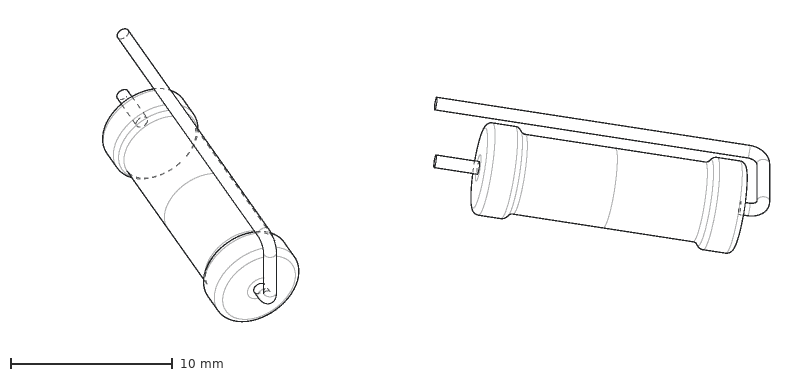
import cadquery as cq
import math

wire_diameter = 0.8
barrel_radius = 5.0 / 2
cap_radius = 5.8 / 2
body_half_length = 8.26
cone_height = 0.06
end_flat_radius = 0.82
cap_inner_x = 6.38
barrel_half_length = 5.68
short_lead_tip_x = -10.99
long_lead_tip_x = -10.95
riser_x = 9.75
lead_spacing = 5.25
bend_radius = 0.93

wire_radius = wire_diameter / 2
cap_step = cap_radius - barrel_radius
rim_radius = cap_step
rim_x = body_half_length - cone_height
cap_outer_x = rim_x - rim_radius
taper_mid_x = (cap_inner_x + barrel_half_length) / 2
taper_mid_radius = (cap_radius + barrel_radius) / 2
half_taper_length = (cap_inner_x - barrel_half_length) / 2
half_step = cap_step / 2
taper_arc_radius = (half_taper_length**2 + half_step**2) / (2 * half_step)


def make_body():
    """Turned body: a barrel with a rounded, slightly conical cap at each end."""
    half_profile = (
        cq.Workplane("XY")
        .moveTo(0, 0)
        .lineTo(0, barrel_radius)
        .lineTo(barrel_half_length, barrel_radius)
        .radiusArc((taper_mid_x, taper_mid_radius), -taper_arc_radius)
        .radiusArc((cap_inner_x, cap_radius), taper_arc_radius)
        .lineTo(cap_outer_x, cap_radius)
        .radiusArc((rim_x, cap_radius - rim_radius), rim_radius)
        .lineTo(body_half_length, end_flat_radius)
        .lineTo(body_half_length, 0)
        .close()
    )
    half_body = half_profile.revolve(360, (0, 0, 0), (1, 0, 0))
    return half_body.union(half_body.mirror("YZ")).clean().solids()


def make_short_lead():
    """Straight wire from its free tip to the left end face."""
    lead_length = -body_half_length - short_lead_tip_x
    return (
        cq.Workplane("YZ", origin=(short_lead_tip_x, 0, 0))
        .circle(wire_radius)
        .extrude(lead_length)
    )


def make_long_lead():
    """Wire from the right end face, bent up and then back over the body."""
    bend_start_x = riser_x - bend_radius
    bend_offset = bend_radius * math.sqrt(0.5)
    bend_middle_x = bend_start_x + bend_offset
    lower_center_z = bend_radius
    upper_center_z = lead_spacing - bend_radius
    path = (
        cq.Workplane("XZ")
        .moveTo(body_half_length, 0)
        .lineTo(bend_start_x, 0)
        .threePointArc((bend_middle_x, lower_center_z - bend_offset), (riser_x, lower_center_z))
        .lineTo(riser_x, upper_center_z)
        .threePointArc((bend_middle_x, upper_center_z + bend_offset), (bend_start_x, lead_spacing))
        .lineTo(long_lead_tip_x, lead_spacing)
    )
    section = cq.Workplane("YZ", origin=(body_half_length, 0, 0)).circle(wire_radius)
    return section.sweep(path)


body = make_body()
short_lead = make_short_lead()
long_lead = make_long_lead()

result = cq.Compound.makeCompound([body.val(), short_lead.val(), long_lead.val()])